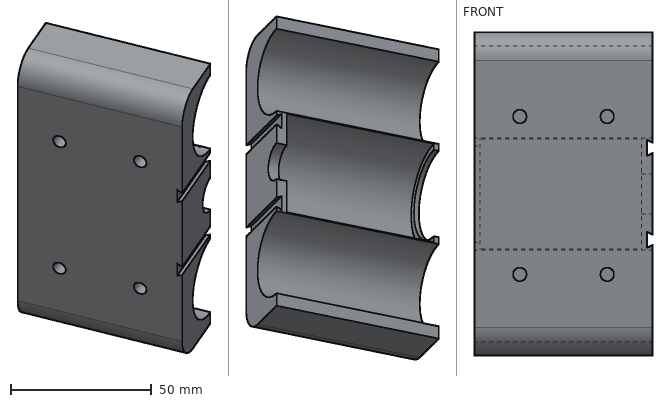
import cadquery as cq

length = 63.3
thickness = 26.2
height = 114.8
edge_radius = 10.0

side_channel_radius = 16.3
side_channel_offset = 36.2

lip_radius = 17.1
lip_length = 2.0
chamber_radius = 19.5
end_wall = 4.0
opening_radius = 7.1

hole_diameter = 4.8
hole_depth = 8.0
hole_spacing_x = 31.0
hole_spacing_z = 56.0
hole_pattern_z = -0.6

slot_depth = 2.0
slot_mouth = 3.6
slot_base = 5.5
slot_offset = 16.3


def channel(radius, start, end, z=0):
    """Cylinder along X whose axis lies in the +Y face."""
    profile = cq.Workplane("YZ", origin=(start, thickness, z)).circle(radius)
    return profile.extrude(end - start)


def dovetail_slot(z):
    """Slot through the whole thickness, wider at its base than at its mouth."""
    base_x = length - slot_depth
    return (
        cq.Workplane("XZ", origin=(0, thickness, z))
        .moveTo(length, -slot_mouth / 2)
        .lineTo(length, slot_mouth / 2)
        .lineTo(base_x, slot_base / 2)
        .lineTo(base_x, -slot_base / 2)
        .close()
        .extrude(thickness)
    )


def mounting_holes():
    return (
        cq.Workplane("XZ", origin=(length / 2, hole_depth, hole_pattern_z))
        .rect(hole_spacing_x, hole_spacing_z, forConstruction=True)
        .vertices()
        .circle(hole_diameter / 2)
        .extrude(hole_depth)
    )


result = cq.Workplane("XY").box(length, thickness, height).translate((length / 2, thickness / 2, 0))
result = result.faces("<Y").edges("|X").fillet(edge_radius)

for side in (-1, 1):
    result = result.cut(channel(side_channel_radius, 0, length, side * side_channel_offset))
    result = result.cut(dovetail_slot(side * slot_offset))

result = result.cut(channel(lip_radius, 0, lip_length))
result = result.cut(channel(chamber_radius, lip_length, length - end_wall))
result = result.cut(channel(opening_radius, length - end_wall, length))

result = result.cut(mounting_holes())